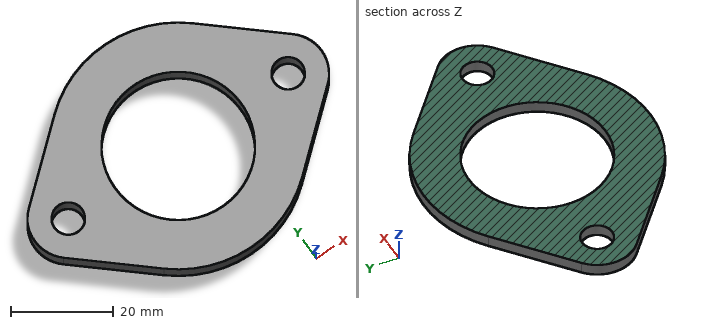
import cadquery as cq
import math

length = 68.0
body_diameter = 50.0
thickness = 5.0
bore_diameter = 30.0
bolt_hole_diameter = 6.5
bolt_spacing = 52.0

body_radius = body_diameter / 2
bolt_x = bolt_spacing / 2
end_radius = length / 2 - bolt_x

normal_x = (body_radius - end_radius) / bolt_x
normal_y = math.sqrt(1 - normal_x**2)
body_tangent_x = body_radius * normal_x
body_tangent_y = body_radius * normal_y
end_tangent_x = bolt_x + end_radius * normal_x
end_tangent_y = end_radius * normal_y

plate = (
    cq.Workplane("XY")
    .moveTo(end_tangent_x, end_tangent_y)
    .lineTo(body_tangent_x, body_tangent_y)
    .threePointArc((0, body_radius), (-body_tangent_x, body_tangent_y))
    .lineTo(-end_tangent_x, end_tangent_y)
    .threePointArc((-length / 2, 0), (-end_tangent_x, -end_tangent_y))
    .lineTo(-body_tangent_x, -body_tangent_y)
    .threePointArc((0, -body_radius), (body_tangent_x, -body_tangent_y))
    .lineTo(end_tangent_x, -end_tangent_y)
    .threePointArc((length / 2, 0), (end_tangent_x, end_tangent_y))
    .close()
    .extrude(thickness)
)

result = (
    plate.faces(">Z").workplane(origin=(0, 0, thickness))
    .hole(bore_diameter)
    .pushPoints([(-bolt_x, 0), (bolt_x, 0)])
    .hole(bolt_hole_diameter)
)